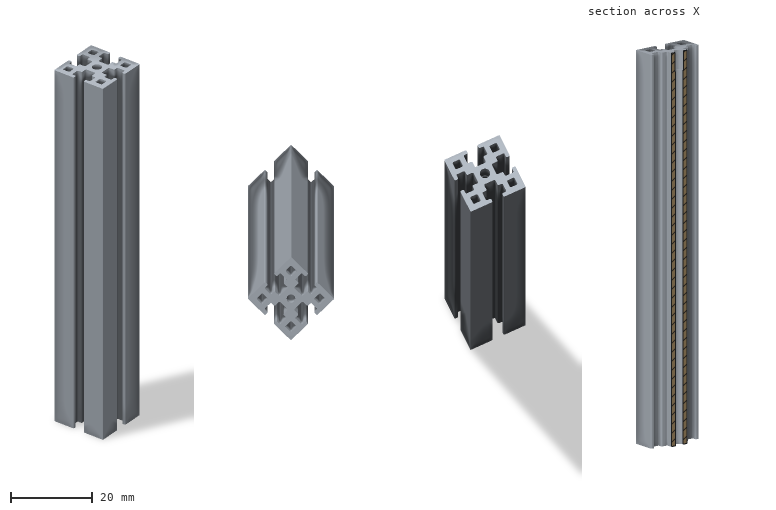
import cadquery as cq

side = 15.0
length = 100.0
corner_radius = 0.1
edge_radius = 0.3
slot_opening = 3.0
chamber_width = 5.5
lip_thickness = 1.0
shoulder_offset = 4.2
floor_offset = 2.5
slot_count = 4
bore_diameter = 2.1
counterbore_diameter = 2.5
counterbore_depth = 5.0
corner_hole_side = 2.0
corner_hole_offset = 5.0

half_side = side / 2


def square_bar():
    bar = cq.Workplane("XY").rect(side, side).extrude(length)
    return bar.edges("|Z").fillet(corner_radius)


def slot_cutter():
    """T-shaped slot on the +Y side, widened outside the bar so that the lip edges come out rounded."""
    half_opening = slot_opening / 2
    half_chamber = chamber_width / 2
    lip_inside = half_side - lip_thickness
    right_half = [
        (half_opening, floor_offset),
        (half_opening, shoulder_offset),
        (half_chamber, shoulder_offset),
        (half_chamber, lip_inside),
        (half_opening, lip_inside),
        (half_opening, half_side),
        (side, half_side),
        (side, side),
    ]
    left_half = [(-x, y) for x, y in reversed(right_half)]
    cutter = cq.Workplane("XY").polyline(right_half + left_half).close().extrude(length)
    slot_region = cq.selectors.BoxSelector((-half_side, 0, 0), (half_side, half_side + edge_radius, length))
    return cutter.edges("|Z").edges(slot_region).fillet(edge_radius)


def corner_holes():
    """Rounded square holes through the four corners of the profile."""
    spacing = 2 * corner_hole_offset
    return (
        cq.Workplane("XY")
        .rarray(spacing, spacing, 2, 2)
        .rect(corner_hole_side, corner_hole_side)
        .extrude(length)
        .edges("|Z")
        .fillet(edge_radius)
    )


result = square_bar()
slot = slot_cutter()
for index in range(slot_count):
    angle = index * 360 / slot_count
    result = result.cut(slot.rotate((0, 0, 0), (0, 0, 1), angle))
result = result.cut(corner_holes())

result = (
    result.faces(">Z")
    .workplane(origin=(0, 0, length))
    .cboreHole(bore_diameter, counterbore_diameter, counterbore_depth)
)